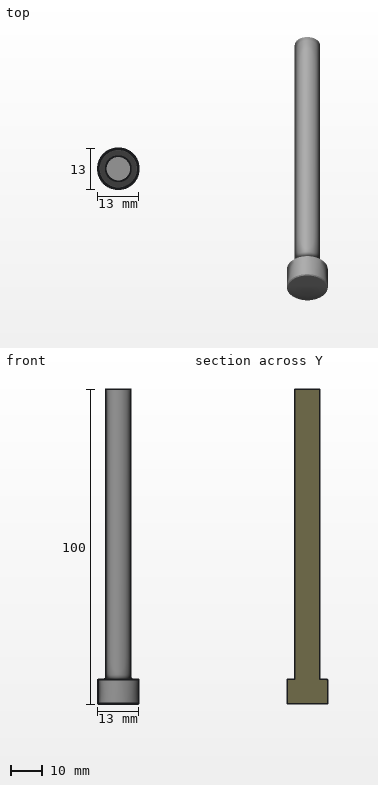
import cadquery as cq

total_length = 100.0
head_diameter = 13.0
head_height = 8.0
shank_diameter = 8.0
head_chamfer = 0.3
neck_fillet_radius = 0.3

head = (
    cq.Workplane("XY")
    .circle(head_diameter / 2)
    .extrude(head_height)
    .faces("|Z")
    .edges()
    .chamfer(head_chamfer)
)

shank_length = total_length - head_height
pin = head.faces(">Z").workplane().circle(shank_diameter / 2).extrude(shank_length)

head_top = pin.faces("|Z").faces(cq.selectors.CenterNthSelector(cq.Vector(0, 0, 1), 1))
neck_corner = head_top.edges(cq.selectors.RadiusNthSelector(0))
result = neck_corner.fillet(neck_fillet_radius)